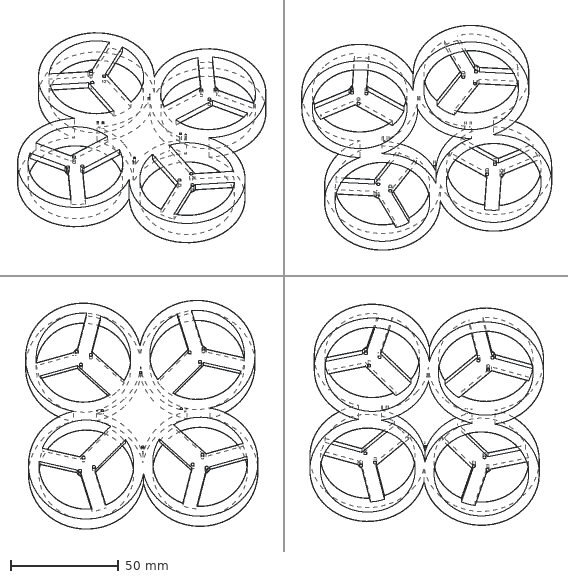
import cadquery as cq

overall_span = 128.8
height = 14.0
plate_thickness = 3.9

ring_diameter = 54.0
bore_diameter = 44.0
ring_center = (overall_span - ring_diameter) / 2

hub_offset = 0.4
hub_center = ring_center + hub_offset
main_spoke_width = 9.7
outer_spoke_width = 6.7
outer_spoke_angles = (-60, 60)
spoke_end_radius = (bore_diameter + ring_diameter) / 4
mount_hole_diameter = 1.4
mount_hole_radius = 3.9
mount_hole_count = 3

plate_diameter = 41.2
plate_hole_diameter = 1.0
plate_hole_offset = 13.0

arm_angles = (0, 90, 180, 270)
plate_bottom = height - plate_thickness


def cylinder(diameter, x, y=0.0, bottom=0.0):
    """Upright cylinder reaching the top face."""
    return (
        cq.Workplane("XY", origin=(x, y, bottom))
        .circle(diameter / 2)
        .extrude(height - bottom)
    )


def bar(x_start, x_end, width):
    """Flat bar along X, flush with the top face."""
    return (
        cq.Workplane("XY", origin=((x_start + x_end) / 2, 0, plate_bottom))
        .rect(x_end - x_start, width)
        .extrude(plate_thickness)
    )


def motor_mount():
    """Hub and three spokes of the arm on +X."""
    mount = cylinder(main_spoke_width, hub_center, bottom=plate_bottom)
    mount = mount.union(bar(0, hub_center, main_spoke_width))
    for angle in outer_spoke_angles:
        spoke = bar(hub_center, hub_center + spoke_end_radius, outer_spoke_width)
        mount = mount.union(spoke.rotate((hub_center, 0, 0), (hub_center, 0, 1), angle))
    return mount


def mount_hole_cutter():
    """Motor screw holes of the arm on +X, the first one pointing outwards."""
    return (
        cq.Workplane("XY", origin=(hub_center, 0, 0))
        .polarArray(mount_hole_radius, 0, 360, mount_hole_count)
        .circle(mount_hole_diameter / 2)
        .extrude(height)
    )


def around_center(shape):
    """Four copies of a shape, one for each arm."""
    copies = cq.Workplane("XY")
    for angle in arm_angles:
        copies = copies.union(shape.rotate((0, 0, 0), (0, 0, 1), angle))
    return copies


body = around_center(cylinder(ring_diameter, ring_center))
body = body.union(cylinder(plate_diameter, 0, bottom=plate_bottom))
body = body.cut(around_center(cylinder(bore_diameter, ring_center)))
body = body.union(around_center(motor_mount()))

body = body.cut(around_center(mount_hole_cutter()))
plate_hole = cylinder(plate_hole_diameter, plate_hole_offset, plate_hole_offset, plate_bottom)
result = body.cut(around_center(plate_hole))